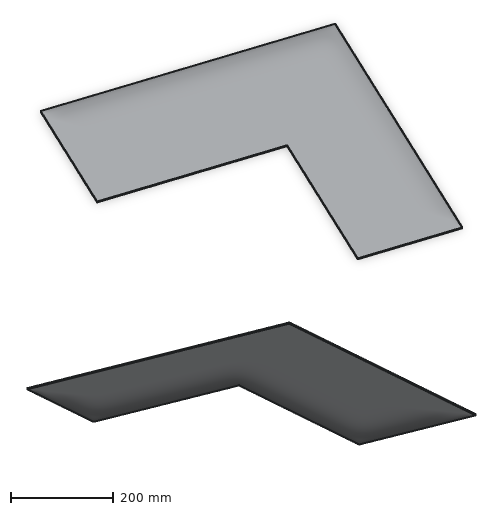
import cadquery as cq

length_x = 630.0
length_y = 628.0
thickness = 3.0

y_leg_width = 280.0
x_leg_width = 223.0


def l_plate():
    """Flat L-shaped plate, centred in X and Y and standing on Z = 0; the legs meet at -X, +Y."""
    left = -length_x / 2
    right = length_x / 2
    bottom = -length_y / 2
    top = length_y / 2
    inner_x = left + y_leg_width
    inner_y = top - x_leg_width
    outline = [
        (left, bottom),
        (inner_x, bottom),
        (inner_x, inner_y),
        (right, inner_y),
        (right, top),
        (left, top),
    ]
    return cq.Workplane("XY").polyline(outline).close().extrude(thickness)


result = l_plate()